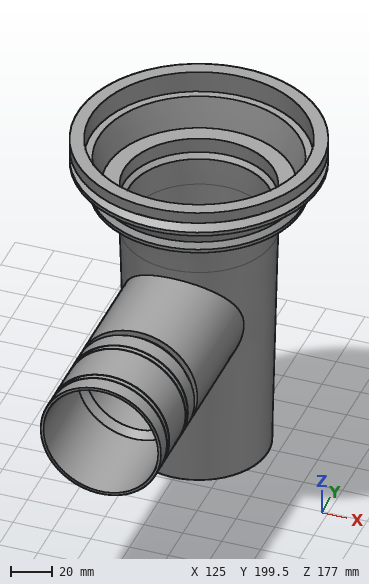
import cadquery as cq

height = 177.0
rim_dia = 125.0
branch_reach = 137.0

rim_depth = 6.0
neck_dia = 116.5
neck_depth = 9.0
lip_top_depth = 11.5
lip_bottom_depth = 13.5
bell_dia = 106.0
bell_top_depth = 14.8
bell_waist_dia = 102.0
bell_waist_depth = 25.3
bead_depth = 28.3
bell_bottom_depth = 30.2
collar_dia = 86.29
collar_depth = 36.3
tube_top_dia = 78.2
tube_top_depth = 39.2

tube_joint_dia = 77.01
tube_joint_depth = 52.0
tube_end_dia = 71.0

wall = 3.0
mouth_dia = 111.0
mouth_depth = 11.5
seat_top_dia = 103.0
seat_bottom_dia = 94.5
seat_depth = bell_bottom_depth - wall
socket_dia = 76.7
socket_depth = 35.2
bore_top_dia = 71.8
bore_top_depth = 37.6
bore_joint_dia = tube_joint_dia - 2 * wall
bore_end_dia = 65.5

branch_dia = 62.0
branch_height = 88.7
branch_wall = 1.5
ring_groove_dia = 61.4
ring_groove_width = 3.0
ring_groove_starts = (8.7, 34.7)
ramp_start = 46.7
ramp_end = 50.8
ramp_groove_dia = 56.0
branch_mouth_dia = branch_dia - 2 * branch_wall
branch_bore_dia = ramp_groove_dia - 2 * branch_wall


def revolve_about_z(stations):
    """Solid of revolution about Z from (diameter, depth below the top face) stations, top to bottom."""
    profile = [(diameter / 2, height - depth) for diameter, depth in stations]
    axis_top = (0, profile[0][1])
    axis_bottom = (0, profile[-1][1])
    outline = [axis_top] + profile + [axis_bottom]
    return cq.Workplane("XZ").polyline(outline).close().revolve(360, (0, 0), (0, 1))


def revolve_about_branch(stations):
    """Solid of revolution about the branch axis from (diameter, distance from the open end) stations."""
    profile = [(distance - branch_reach, branch_height + diameter / 2) for diameter, distance in stations]
    axis_start = (profile[0][0], branch_height)
    axis_end = (profile[-1][0], branch_height)
    outline = [axis_start] + profile + [axis_end]
    return cq.Workplane("YZ").polyline(outline).close().revolve(360, (0, branch_height), (1, branch_height))


def make_body_outside():
    return revolve_about_z([
        (rim_dia, 0),
        (rim_dia, rim_depth),
        (neck_dia, rim_depth),
        (neck_dia, neck_depth),
        (rim_dia, lip_top_depth),
        (rim_dia, lip_bottom_depth),
        (bell_dia, bell_top_depth),
        (bell_waist_dia, bell_waist_depth),
        (bell_dia, bead_depth),
        (bell_dia, bell_bottom_depth),
        (collar_dia, bell_bottom_depth),
        (collar_dia, collar_depth),
        (tube_top_dia, tube_top_depth),
        (tube_joint_dia, tube_joint_depth),
        (tube_end_dia, height),
    ])


def make_body_bore():
    return revolve_about_z([
        (mouth_dia, 0),
        (mouth_dia, mouth_depth),
        (seat_top_dia, mouth_depth),
        (seat_bottom_dia, seat_depth),
        (socket_dia, seat_depth),
        (socket_dia, socket_depth),
        (bore_top_dia, bore_top_depth),
        (bore_joint_dia, tube_joint_depth),
        (bore_end_dia, height),
    ])


def make_branch_outside():
    stations = [(branch_dia, 0)]
    for start in ring_groove_starts:
        end = start + ring_groove_width
        stations += [
            (branch_dia, start),
            (ring_groove_dia, start),
            (ring_groove_dia, end),
            (branch_dia, end),
        ]
    stations += [
        (branch_dia, ramp_start),
        (ramp_groove_dia, ramp_end),
        (branch_dia, ramp_end),
        (branch_dia, branch_reach),
    ]
    return revolve_about_branch(stations)


def make_branch_bore():
    """Bore with a ramp beside the outer ramped groove, keeping the thin wall there."""
    return revolve_about_branch([
        (branch_mouth_dia, 0),
        (branch_mouth_dia, ramp_start),
        (branch_bore_dia, ramp_end),
        (branch_bore_dia, branch_reach),
    ])


outside = make_body_outside().union(make_branch_outside())
result = outside.cut(make_body_bore()).cut(make_branch_bore())